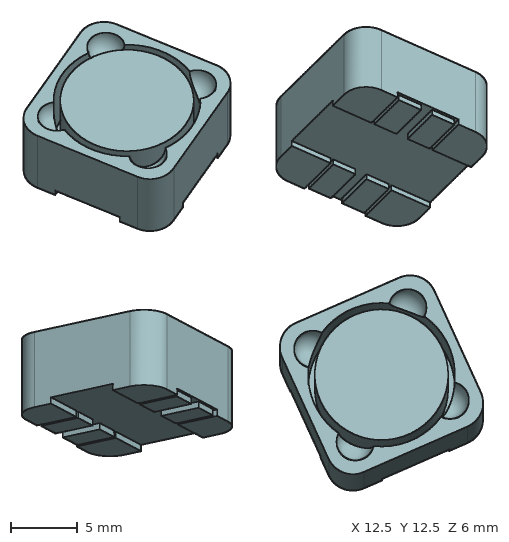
import cadquery as cq
import math

side = 12.5
height = 6
corner_radius = 2
foot_height = 0.5
channel_width = 5.5

cavity_radius = 5.5
core_radius = 5
floor_thickness = 0.5
cavity_floor = foot_height + floor_thickness

dimple_radius = 1.41
dimple_offset = cavity_radius * math.cos(math.radians(45))

pad_width = 2
pad_gap = 1
pad_inset = 0.2
pad_outer_x = side / 2 - pad_inset
pad_inner_x = channel_width / 2
pad_length = pad_outer_x - pad_inner_x
pad_center_x = (pad_outer_x + pad_inner_x) / 2
pad_center_y = (pad_gap + pad_width) / 2


def block_on_base(length, width, block_height, center=(0, 0)):
    """Box whose lower face lies on the plane Z = 0."""
    return (
        cq.Workplane("XY")
        .center(*center)
        .box(length, width, block_height, centered=(True, True, False))
    )


def cylinder_from_floor(radius):
    """Cylinder from the cavity floor to the top of the housing."""
    return cq.Workplane("XY").workplane(offset=cavity_floor).circle(radius).extrude(height - cavity_floor)


def make_housing():
    body = block_on_base(side, side, height).edges("|Z").fillet(corner_radius)
    body = body.cut(block_on_base(side, channel_width, foot_height))
    body = body.cut(block_on_base(channel_width, side, foot_height))
    body = body.cut(cylinder_from_floor(cavity_radius))
    for x_sign in (-1, 1):
        for y_sign in (-1, 1):
            center = (x_sign * dimple_offset, y_sign * dimple_offset, height)
            body = body.cut(cq.Workplane("XY").sphere(dimple_radius).translate(center))
    return body


def make_core():
    return cylinder_from_floor(core_radius)


def make_pad(x_sign, y_sign):
    center = (x_sign * pad_center_x, y_sign * pad_center_y)
    return block_on_base(pad_length, pad_width, foot_height, center)


housing = make_housing()
core = make_core()
pads = [make_pad(x_sign, y_sign) for x_sign in (-1, 1) for y_sign in (-1, 1)]

result = cq.Compound.makeCompound([housing.val(), core.val(), *[pad.val() for pad in pads]])